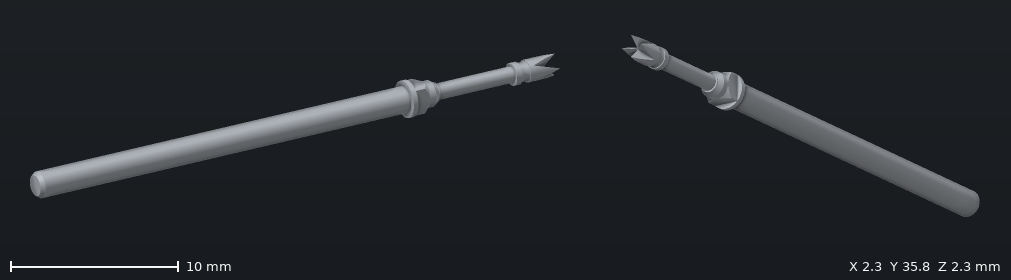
import cadquery as cq
import math


total_length = 35.8
tip_to_flange = 10.02
flange_thickness = 0.32
crown_length = 2.0
neck_length = 0.57
collar_length = 0.4
nose_distance = 8.2
nose_land_length = 0.07
nose_chamfer_length = 0.32
square_length = 1.0
square_lead_length = 0.35
end_chamfer_length = 0.25
end_chamfer_inset = 0.18

flange_diameter = 2.3
barrel_diameter = 1.65
crown_diameter = 1.4
neck_end_diameter = 1.3
neck_waist_diameter = 1.18
stem_diameter = 1.0
nose_diameter = 1.2

point_count = 4
crown_center_depth = 0.75
gash_tilt = 54.0
gash_angle = 60.0


def cylinder(diameter, front, length):
    """Round section from Y = front, running back along -Y."""
    return cq.Workplane("XZ", origin=(0, front, 0)).circle(diameter / 2).extrude(length)


def cone(front_diameter, rear_diameter, front, length):
    """Tapered section from Y = front, running back along -Y."""
    profile = [
        (0, front),
        (front_diameter / 2, front),
        (rear_diameter / 2, front - length),
        (0, front - length),
    ]
    return cq.Workplane("XY").polyline(profile).close().revolve(360, (0, 0, 0), (0, 1, 0))


def plunger():
    """Stem with its collar, waisted neck and pointed crown."""
    tip = tip_to_flange
    neck_front = tip - crown_length
    collar_front = neck_front - neck_length
    blank = cylinder(crown_diameter, tip, crown_length)
    collar = cylinder(crown_diameter, collar_front, collar_length)
    stem = cylinder(stem_diameter, collar_front, nose_distance - crown_length - neck_length)
    return cut_crown(blank).union(neck(neck_front)).union(collar).union(stem)


def neck(front):
    """Short neck behind the crown, waisted by a shallow concave arc."""
    end_radius = neck_end_diameter / 2
    waist_radius = neck_waist_diameter / 2
    rear = front - neck_length
    return (
        cq.Workplane("XY")
        .moveTo(0, front)
        .lineTo(end_radius, front)
        .threePointArc((waist_radius, (front + rear) / 2), (end_radius, rear))
        .lineTo(0, rear)
        .close()
        .revolve(360, (0, 0, 0), (0, 1, 0))
    )


def cut_crown(blank):
    """Cut one V gash between each pair of points; the gash floors fall away from the axis."""
    height = 2 * crown_length
    half_width = height * math.tan(math.radians(gash_angle / 2))
    reach = 4 * crown_diameter
    gash = (
        cq.Workplane("YZ", origin=(-reach / 2, 0, 0))
        .polyline([(0, 0), (height, half_width), (height, -half_width)])
        .close()
        .extrude(reach)
        .rotate((0, 0, 0), (0, 0, 1), -gash_tilt)
        .translate((0, tip_to_flange - crown_center_depth, 0))
    )
    step = 360 / point_count
    for index in range(point_count):
        blank = blank.cut(gash.rotate((0, 0, 0), (0, 1, 0), (index + 0.5) * step))
    return blank


def barrel():
    """Solid barrel with a chamfered nose and a chamfered rear end."""
    nose_front = tip_to_flange - nose_distance
    chamfer_front = nose_front - nose_land_length
    body_front = chamfer_front - nose_chamfer_length
    body_rear = tip_to_flange - total_length + end_chamfer_length
    end_diameter = barrel_diameter - 2 * end_chamfer_inset
    land = cylinder(nose_diameter, nose_front, nose_land_length)
    nose = cone(nose_diameter, barrel_diameter, chamfer_front, nose_chamfer_length)
    body = cylinder(barrel_diameter, body_front, body_front - body_rear)
    end = cone(barrel_diameter, end_diameter, body_rear, end_chamfer_length)
    return land.union(nose).union(body).union(end)


def square_seat():
    """Square press-fit section ahead of the flange, its corners led in by a cone."""
    square = (
        cq.Workplane("XZ", origin=(0, square_length, 0))
        .rect(barrel_diameter, barrel_diameter)
        .extrude(square_length)
    )
    lead = cone(barrel_diameter, flange_diameter, square_length, square_lead_length)
    full_length = square_length - square_lead_length
    envelope = lead.union(cylinder(flange_diameter, full_length, full_length))
    return square.intersect(envelope)


flange = cylinder(flange_diameter, 0, flange_thickness)
result = plunger().union(barrel()).union(square_seat()).union(flange)